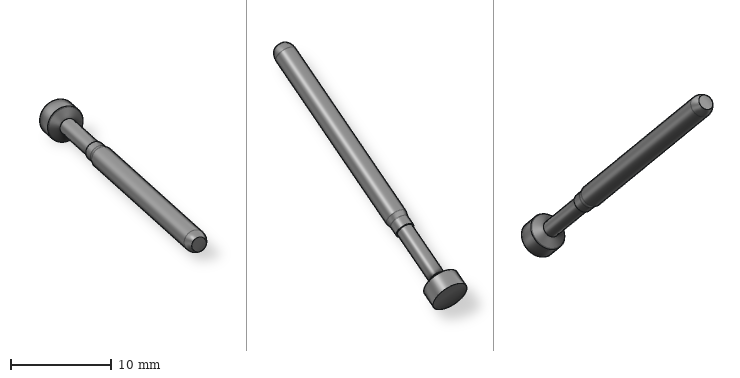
import cadquery as cq

total_length = 33.53
head_diameter = 3.92
cone_diameter = 3.75
stem_diameter = 1.78
collar_diameter = 2.05
body_diameter = 2.35
tip_face_diameter = 1.6

head_length = 1.88
head_edge_length = 0.07
head_cone_length = 0.6
stem_length = 6.37
collar_length = 1.1
body_cone_length = 0.6
tip_length = 1.0

head_end = head_length
cone_start = head_end + head_edge_length
stem_start = cone_start + head_cone_length
collar_start = stem_start + stem_length
collar_end = collar_start + collar_length
body_start = collar_end + body_cone_length
body_end = total_length - tip_length

head_radius = head_diameter / 2
cone_radius = cone_diameter / 2
stem_radius = stem_diameter / 2
collar_radius = collar_diameter / 2
body_radius = body_diameter / 2
tip_face_radius = tip_face_diameter / 2

profile = (
    cq.Workplane("XY")
    .moveTo(0, 0)
    .lineTo(0, head_radius)
    .lineTo(head_end, head_radius)
    .lineTo(cone_start, cone_radius)
    .lineTo(stem_start, stem_radius)
    .lineTo(collar_start, stem_radius)
    .lineTo(collar_start, collar_radius)
    .lineTo(collar_end, collar_radius)
    .lineTo(body_start, body_radius)
    .lineTo(body_end, body_radius)
    .tangentArcPoint((total_length, tip_face_radius), relative=False)
    .lineTo(total_length, 0)
    .close()
)

result = profile.revolve(360, (0, 0, 0), (1, 0, 0))